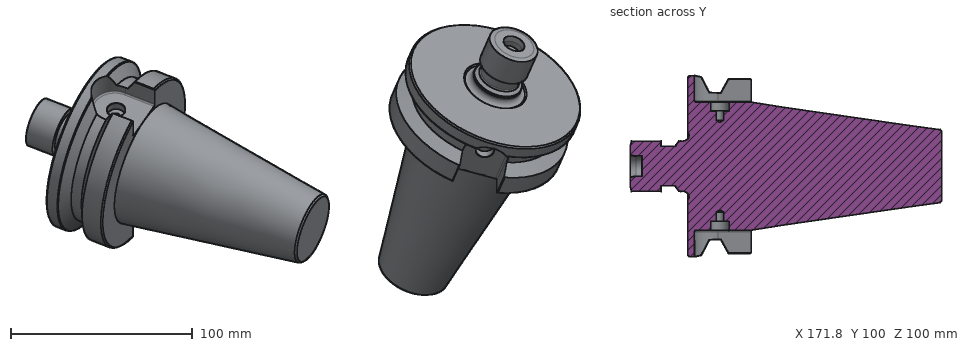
import cadquery as cq
import math

total_length = 171.8

head_radius = 14.0
head_face_radius = 11.3
head_bevel_length = 0.7
head_length = 17.2
bore_radius = 5.5
bore_mouth_radius = 6.1
bore_mouth_depth = 3.1
bore_depth = 6.5

neck_radius = 11.0
collar_start = 24.4
collar_radius = 14.0
collar_bevel_start = 25.3
collar_bevel_start_radius = 11.7
collar_step = 0.09
collar_step_x = 28.0
collar_land_start = 26.8
collar_land_end = 29.0
fillet_radius = 3.5
recess_chamfer = 0.9

flange_radius = 50.0
flange_front = 31.8
flange_rear = 66.8
flange_chamfer = 0.9
groove_radius = 42.5
groove_floor_start = 43.6
groove_floor_end = 50.0
groove_half_angle = math.radians(30)
groove_edge_chamfer = 0.3

taper_radius = 35.4
taper_slope = 7 / 48
tail_chamfer = 1.0

slot_width = 25.8
slot_center_x = 48.5
slot_floor_z = 35.4
slot_floor_fillet = 0.9
slot_rim_chamfer = 0.5
screw_x = 49.5
screw_recess_diameter = 10.0
screw_recess_chamfer = 0.2
screw_recess_depth = 5.0
screw_hole_diameter = 4.0
screw_hole_depth = 10.0
drill_tip_angle = math.radians(118)


def turned_body():
    """Revolve the complete outer profile about the X axis."""
    fillet_mid = fillet_radius * math.sqrt(0.5)
    fillet_center_radius = collar_radius + fillet_radius
    recess_floor = collar_land_end + fillet_radius
    groove_run = (flange_radius - groove_radius) * math.tan(groove_half_angle)
    groove_start = groove_floor_start - groove_run
    groove_end = groove_floor_end + groove_run
    edge_run = groove_edge_chamfer * math.tan(groove_half_angle)
    tail_start = total_length - tail_chamfer
    tail_radius = taper_radius - taper_slope * (tail_start - flange_rear)

    profile = (
        cq.Workplane("XY")
        .moveTo(0, 0)
        .lineTo(0, head_face_radius)
        .lineTo(head_bevel_length, head_radius)
        .lineTo(head_length, head_radius)
        .lineTo(head_length, neck_radius)
        .lineTo(collar_start, neck_radius)
        .tangentArcPoint((collar_bevel_start, collar_bevel_start_radius), relative=False)
        .lineTo(collar_land_start, collar_radius - collar_step)
        .lineTo(collar_step_x, collar_radius - collar_step)
        .lineTo(collar_step_x, collar_radius)
        .lineTo(collar_land_end, collar_radius)
        .threePointArc(
            (collar_land_end + fillet_mid, fillet_center_radius - fillet_mid),
            (recess_floor, fillet_center_radius),
        )
        .lineTo(flange_front, fillet_center_radius + recess_chamfer)
        .lineTo(flange_front, flange_radius - flange_chamfer)
        .lineTo(flange_front + flange_chamfer, flange_radius)
        .lineTo(groove_start - groove_edge_chamfer, flange_radius)
        .lineTo(groove_start + edge_run, flange_radius - groove_edge_chamfer)
        .lineTo(groove_floor_start, groove_radius)
        .lineTo(groove_floor_end, groove_radius)
        .lineTo(groove_end, flange_radius)
        .lineTo(flange_rear - flange_chamfer, flange_radius)
        .lineTo(flange_rear, flange_radius - flange_chamfer)
        .lineTo(flange_rear, taper_radius)
        .lineTo(tail_start, tail_radius)
        .lineTo(total_length, tail_radius - tail_chamfer)
        .lineTo(total_length, 0)
        .close()
    )
    return profile.revolve(360, (0, 0, 0), (1, 0, 0))


def head_bore():
    """Blind bore with a conical mouth."""
    return (
        cq.Workplane("XY")
        .lineTo(0, bore_mouth_radius)
        .lineTo(bore_mouth_depth, bore_radius)
        .lineTo(bore_depth, bore_radius)
        .lineTo(bore_depth, 0)
        .close()
        .revolve(360, (0, 0, 0), (1, 0, 0))
    )


def drive_slot():
    """Upper slot: round at the front, open at the rear, rounded along its floor."""
    half_width = slot_width / 2
    height = flange_radius - slot_floor_z
    plan = (
        cq.Workplane("XY", origin=(0, 0, slot_floor_z))
        .moveTo(total_length, -half_width)
        .lineTo(slot_center_x, -half_width)
        .threePointArc((slot_center_x - half_width, 0), (slot_center_x, half_width))
        .lineTo(total_length, half_width)
        .close()
    )
    slot = plan.extrude(height)
    return slot.faces("<Z").edges("not >X").fillet(slot_floor_fillet)


def rim_chamfer_cutter():
    """Wedge that bevels both slot edges on the rear flange rim."""
    half_width = slot_width / 2
    rim_z = math.sqrt(flange_radius**2 - half_width**2)
    top_half_width = half_width + slot_rim_chamfer
    return (
        cq.Workplane("YZ", origin=(groove_floor_end, 0, 0))
        .moveTo(-half_width, rim_z - slot_rim_chamfer)
        .lineTo(half_width, rim_z - slot_rim_chamfer)
        .lineTo(top_half_width, rim_z)
        .lineTo(top_half_width, flange_radius)
        .lineTo(-top_half_width, flange_radius)
        .lineTo(-top_half_width, rim_z)
        .close()
        .extrude(flange_rear - groove_floor_end)
    )


def screw_hole():
    """Stepped blind hole with a drill point, sunk from the slot floor."""
    recess_radius = screw_recess_diameter / 2
    hole_radius = screw_hole_diameter / 2
    recess_floor = slot_floor_z - screw_recess_depth
    hole_end = slot_floor_z - screw_hole_depth
    tip_end = hole_end - hole_radius / math.tan(drill_tip_angle / 2)
    return (
        cq.Workplane("XZ")
        .moveTo(0, slot_floor_z)
        .lineTo(recess_radius + screw_recess_chamfer, slot_floor_z)
        .lineTo(recess_radius, slot_floor_z - screw_recess_chamfer)
        .lineTo(recess_radius, recess_floor)
        .lineTo(hole_radius, recess_floor)
        .lineTo(hole_radius, hole_end)
        .lineTo(0, tip_end)
        .close()
        .revolve(360, (0, 0, 0), (0, 1, 0))
        .translate((screw_x, 0, 0))
    )


result = turned_body().cut(head_bore())

for angle in (0, 180):
    for cutter in (drive_slot(), rim_chamfer_cutter(), screw_hole()):
        result = result.cut(cutter.rotate((0, 0, 0), (1, 0, 0), angle))